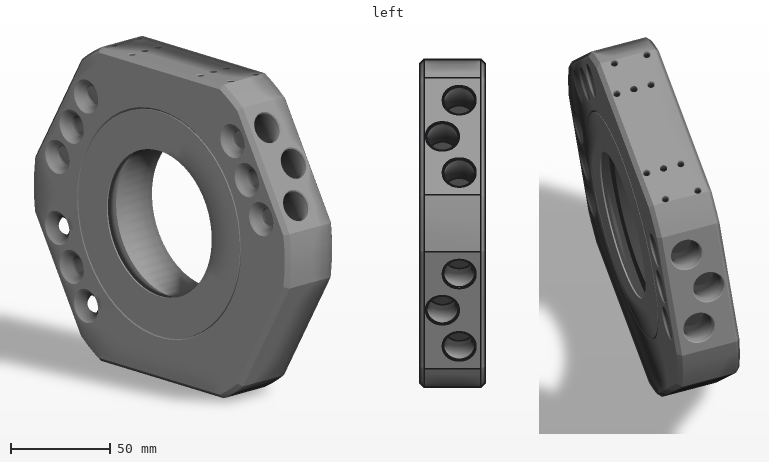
import cadquery as cq
import math

thickness = 33.0
corner_radius = 93.9
flat_height = 165.0
side_flat_distance = 87.5
edge_chamfer = 2.3

seat_radius = 59.0
seat_chamfer = 1.0
sleeve_bore_radius = 40.0
recess_radius = 50.7
recess_bottom_y = -8.5
cover_thickness = 0.8
cover_hole_radius = 38.3

port_angles = (30, 150, 210)
port_pitch = 21.0
port_radius = 7.9
port_mouth_radius = 8.5
port_depth = 19.2
outer_port_y = -3.4
middle_port_y = 5.0

feed_distance = 73.8
feed_radius = 4.7
feed_mouth_radius = 8.8
feed_cone_depth = 4.1

screw_radius = 1.7
screw_mouth_radius = 2.0
screw_depth = 7.5
corner_screw_x = 42.8
corner_screw_ys = (9.5, -7.5)
pattern_x = 25.0
pattern_screw_ys = (6.2, -11.8)
dowel_y = -2.8
dowel_radius = 1.9
dowel_depth = 7.5
drill_point_angle = 118

front_y = -thickness / 2
back_y = thickness / 2
flat_z = flat_height / 2
cover_back_y = front_y + cover_thickness
axis_y = cq.Vector(0, 1, 0)
down = cq.Vector(0, 0, -1)


def cylinder(radius, start, direction, length):
    """Cylinder running from a start point along a direction."""
    return cq.Workplane(obj=cq.Solid.makeCylinder(radius, length, start, direction))


def countersunk_hole(radius, mouth_radius, cone_depth, start, direction, depth):
    """Cutter for a flat-bottomed hole with a conical mouth."""
    cone = cq.Workplane(obj=cq.Solid.makeCone(mouth_radius, radius, cone_depth, start, direction))
    return cylinder(radius, start, direction, depth).union(cone)


def drilled_hole(radius, start, direction, depth):
    """Cutter for a blind hole that ends in a drill point."""
    tip_start = start + direction * depth
    tip_length = radius / math.tan(math.radians(drill_point_angle / 2))
    tip = cq.Workplane(obj=cq.Solid.makeCone(radius, 0, tip_length, tip_start, direction))
    return cylinder(radius, start, direction, depth).union(tip)


def along_y(radius, start_y, end_y):
    """Cylinder on the main axis between two Y positions."""
    return cylinder(radius, cq.Vector(0, start_y, 0), axis_y, end_y - start_y)


def rim_point(angle):
    """Point on the turned rim, as X and Z."""
    turn = math.radians(angle)
    return corner_radius * math.cos(turn), corner_radius * math.sin(turn)


def make_blank():
    """Plate with six flats joined by arcs of the turned rim, both rims chamfered."""
    side_half_angle = math.degrees(math.acos(side_flat_distance / corner_radius))
    level_half_angle = math.degrees(math.acos(flat_z / corner_radius))
    flats = [(30, side_half_angle), (90, level_half_angle), (150, side_half_angle)]
    flats += [(angle + 180, half_angle) for angle, half_angle in flats]

    outline = cq.Workplane("XZ", origin=(0, back_y, 0)).moveTo(*rim_point(flats[0][0] - flats[0][1]))
    for index, (angle, half_angle) in enumerate(flats):
        next_angle, next_half_angle = flats[(index + 1) % len(flats)]
        arc_start = angle + half_angle
        arc_end = (next_angle - next_half_angle - arc_start) % 360 + arc_start
        outline = outline.lineTo(*rim_point(arc_start))
        outline = outline.threePointArc(rim_point((arc_start + arc_end) / 2), rim_point(arc_end))
    blank = outline.close().extrude(thickness)
    return blank.faces("<Y or >Y").chamfer(edge_chamfer)


def cut_seat(body):
    """Opening for the sleeve and cover, with a chamfered front rim."""
    body = body.cut(along_y(seat_radius, front_y, back_y))
    rim = cq.Solid.makeCone(
        seat_radius + seat_chamfer, seat_radius, seat_chamfer, cq.Vector(0, front_y, 0), axis_y
    )
    return body.cut(cq.Workplane(obj=rim))


def cut_ports(body):
    """Three side ports in each ported flat, each met by a feed hole from the front."""
    port_chamfer = port_mouth_radius - port_radius
    for angle in port_angles:
        turn = math.radians(angle)
        normal = cq.Vector(math.cos(turn), 0, math.sin(turn))
        tangent = cq.Vector(-math.sin(turn), 0, math.cos(turn))
        for step, port_y in ((-1, outer_port_y), (0, middle_port_y), (1, outer_port_y)):
            offset = tangent * (step * port_pitch)
            mouth = normal * side_flat_distance + offset + axis_y * port_y
            body = body.cut(
                countersunk_hole(port_radius, port_mouth_radius, port_chamfer, mouth, normal * -1, port_depth)
            )
            feed_mouth = normal * feed_distance + offset + axis_y * front_y
            body = body.cut(
                countersunk_hole(
                    feed_radius, feed_mouth_radius, feed_cone_depth, feed_mouth, axis_y, port_y - front_y
                )
            )
    return body


def cut_top_holes(body):
    """Small screw and dowel holes in the top flat, mirrored about X = 0."""
    screw_chamfer = screw_mouth_radius - screw_radius
    for side in (-1, 1):
        places = [(corner_screw_x, y) for y in corner_screw_ys]
        places += [(pattern_x, y) for y in pattern_screw_ys]
        for x, y in places:
            start = cq.Vector(side * x, y, flat_z)
            mouth = cq.Solid.makeCone(screw_mouth_radius, screw_radius, screw_chamfer, start, down)
            body = body.cut(drilled_hole(screw_radius, start, down, screw_depth))
            body = body.cut(cq.Workplane(obj=mouth))
        dowel_start = cq.Vector(side * pattern_x, dowel_y, flat_z)
        body = body.cut(drilled_hole(dowel_radius, dowel_start, down, dowel_depth))
    return body


def make_housing():
    """Six-sided housing."""
    return cut_top_holes(cut_ports(cut_seat(make_blank())))


def make_sleeve():
    """Sleeve filling the seat behind the cover, hollowed at its front."""
    sleeve = along_y(seat_radius, cover_back_y, back_y)
    sleeve = sleeve.cut(along_y(sleeve_bore_radius, cover_back_y, back_y))
    return sleeve.cut(along_y(recess_radius, cover_back_y, recess_bottom_y))


def make_cover():
    """Thin ring that lies on the sleeve, flush with the front of the housing."""
    return along_y(seat_radius, front_y, cover_back_y).cut(
        along_y(cover_hole_radius, front_y, cover_back_y)
    )


housing = make_housing()
sleeve = make_sleeve()
cover = make_cover()

result = cq.Compound.makeCompound([housing.val(), sleeve.val(), cover.val()])